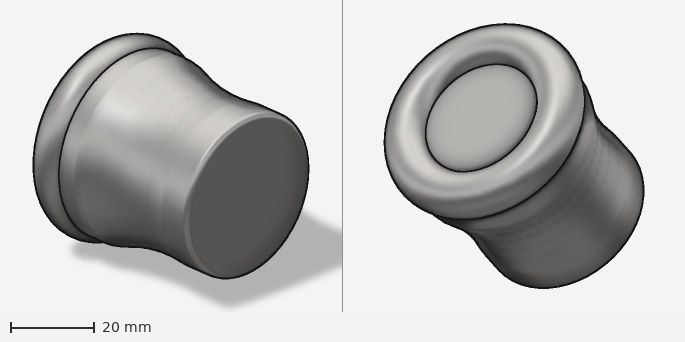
import cadquery as cq
import math

overall_length = 50.0
ring_outer_radius = 51.85 / 2
ring_tube_radius = 5.7
ring_center_radius = ring_outer_radius - ring_tube_radius

front_collar_radius = 48.0 / 2
front_collar_end = 15.15
end_collar_radius = 42 / 2
end_collar_start = 41.9
end_round = 1.4

waist_radius = 20.5
waist_position = 34.25
waist_arc_radius = 49.3
waist_start = 16.9
waist_end = 41.1

face_position = 4.0


def waist_height(x):
    """Radius of the body on the waist arc at position x."""
    offset = x - waist_position
    return waist_radius + waist_arc_radius - math.sqrt(waist_arc_radius**2 - offset**2)


def waist_direction(x):
    """Unit direction of the waist arc at position x, pointing along +X."""
    rise = (x - waist_position) / waist_arc_radius
    return (math.sqrt(1 - rise**2), rise)


def make_ring():
    """Round lip at the open end, a full torus touching the plane X = 0."""
    return (
        cq.Workplane("XY")
        .center(ring_tube_radius, ring_center_radius)
        .circle(ring_tube_radius)
        .revolve(360, (0, -ring_center_radius, 0), (1, -ring_center_radius, 0))
    )


def make_body(ring):
    """Waisted solid body, grooved at its front edge to seat the ring."""
    along_axis = (1, 0)
    round_start = overall_length - end_round
    round_middle = end_round * math.sqrt(0.5)
    blank = (
        cq.Workplane("XY")
        .moveTo(face_position, 0)
        .lineTo(face_position, ring_center_radius)
        .lineTo(ring_tube_radius, front_collar_radius)
        .lineTo(front_collar_end, front_collar_radius)
        .spline(
            [(waist_start, waist_height(waist_start))],
            tangents=[along_axis, waist_direction(waist_start)],
            includeCurrent=True,
        )
        .threePointArc(
            (waist_position, waist_radius),
            (waist_end, waist_height(waist_end)),
        )
        .spline(
            [(end_collar_start, end_collar_radius)],
            tangents=[waist_direction(waist_end), along_axis],
            includeCurrent=True,
        )
        .lineTo(round_start, end_collar_radius)
        .threePointArc(
            (round_start + round_middle, end_collar_radius - end_round + round_middle),
            (overall_length, end_collar_radius - end_round),
        )
        .lineTo(overall_length, 0)
        .close()
        .revolve(360, (0, 0, 0), (1, 0, 0))
    )
    return blank.cut(ring)


ring = make_ring()
body = make_body(ring)

result = cq.Compound.makeCompound([*body.solids().vals(), ring.val()])